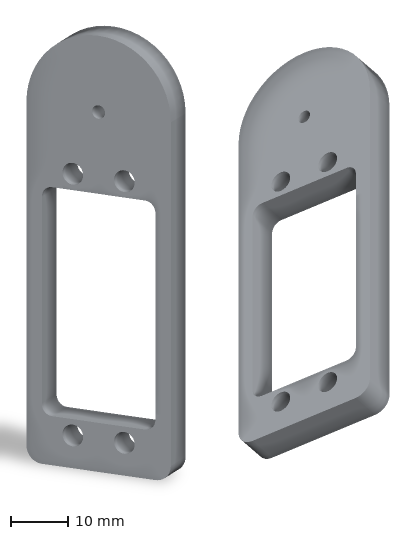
import cadquery as cq

width = 28.0
height = 80.0
thickness = 6.0
top_radius = width / 2
top_center_z = height - top_radius

window_width = 22.0
window_height = 42.0
window_center_z = 30.0
window_corner_radius = 2.0
side_wall = (width - window_width) / 2
bottom_corner_radius = side_wall

pivot_diameter = 2.5
screw_diameter = 4.0
screw_spacing_x = 10.0
screw_spacing_z = 48.0


def through_cutter(sketch):
    """Extrude a closed profile through the full plate thickness."""
    return sketch.extrude(thickness / 2, both=True)


def make_plate():
    """Upright plate with a semicircular top and rounded bottom corners."""
    outline = (
        cq.Workplane("XZ")
        .moveTo(-width / 2, 0)
        .lineTo(width / 2, 0)
        .lineTo(width / 2, top_center_z)
        .threePointArc((0, height), (-width / 2, top_center_z))
        .close()
    )
    plate = through_cutter(outline)
    return plate.edges("|Y").edges("<Z").fillet(bottom_corner_radius)


def make_window():
    """Rounded rectangular opening."""
    profile = cq.Workplane("XZ").center(0, window_center_z).rect(window_width, window_height)
    return through_cutter(profile).edges("|Y").fillet(window_corner_radius)


def make_pivot_hole():
    """Small hole concentric with the rounded top."""
    return through_cutter(cq.Workplane("XZ").center(0, top_center_z).circle(pivot_diameter / 2))


def make_screw_holes():
    """Pairs of holes above and below the window."""
    profile = (
        cq.Workplane("XZ")
        .center(0, window_center_z)
        .rect(screw_spacing_x, screw_spacing_z, forConstruction=True)
        .vertices()
        .circle(screw_diameter / 2)
    )
    return through_cutter(profile)


result = make_plate().cut(make_window()).cut(make_pivot_hole()).cut(make_screw_holes())